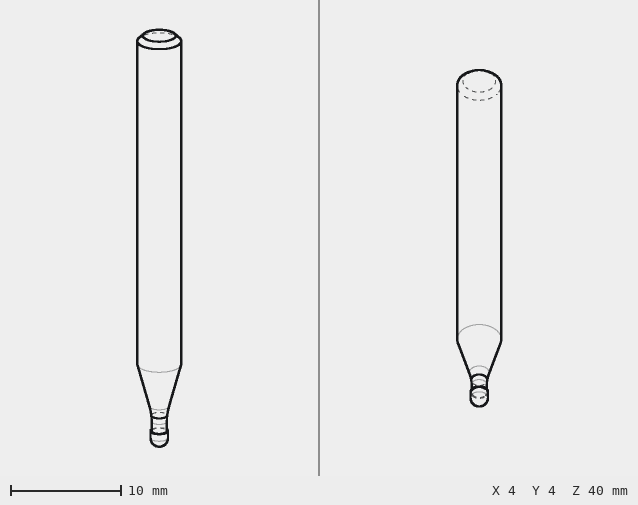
import cadquery as cq
import math

total_length = 40.0
shank_radius = 2.0
end_chamfer = 0.5

head_radius = 0.8
head_top = 1.5

neck_diameter = 1.4
neck_radius = neck_diameter / 2
flare_start = 2.4
body_joint = 3.0
cone_top = 8.0
flare_radius = 5.8
cone_half_angle = math.radians(15.0)


def flare_point(angle):
    """Radius and height on the concave flare where its tangent leans by the angle."""
    return (
        neck_radius + flare_radius * (1 - math.cos(angle)),
        flare_start + flare_radius * math.sin(angle),
    )


joint_angle = math.asin((body_joint - flare_start) / flare_radius)
joint_point = flare_point(joint_angle)
flare_end = flare_point(cone_half_angle)


def revolve_about_z(profile):
    """Turn a closed radius-height profile about the tool axis."""
    return profile.close().revolve(360, (0, 0, 0), (0, 1, 0))


def make_cutter():
    """Ball-nosed head with the relieved neck, up to the joint with the shank."""
    ball_mid = (
        head_radius * math.sin(math.pi / 4),
        head_radius * (1 - math.cos(math.pi / 4)),
    )
    profile = (
        cq.Workplane("XZ")
        .moveTo(0, 0)
        .threePointArc(ball_mid, (head_radius, head_radius))
        .lineTo(head_radius, head_top)
        .lineTo(neck_radius, head_top)
        .lineTo(neck_radius, flare_start)
        .threePointArc(flare_point(joint_angle / 2), joint_point)
        .lineTo(0, body_joint)
    )
    return revolve_about_z(profile)


def make_shank():
    """Rest of the flare, the cone and the cylindrical shank with its end chamfer."""
    profile = (
        cq.Workplane("XZ")
        .moveTo(0, body_joint)
        .lineTo(*joint_point)
        .threePointArc(flare_point((joint_angle + cone_half_angle) / 2), flare_end)
        .lineTo(shank_radius, cone_top)
        .lineTo(shank_radius, total_length - end_chamfer)
        .lineTo(shank_radius - end_chamfer, total_length)
        .lineTo(0, total_length)
    )
    return revolve_about_z(profile)


cutter = make_cutter()
shank = make_shank()

result = cq.Compound.makeCompound([cutter.val(), shank.val()])